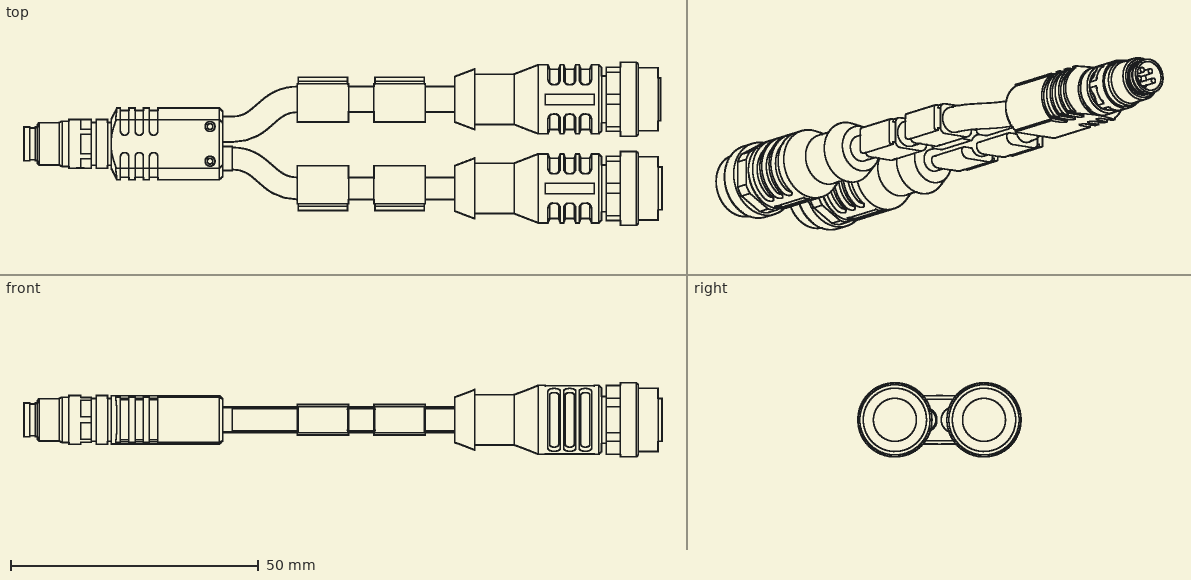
import cadquery as cq
import math


OVERALL_LENGTH = 128.9
SOCKET_Y = 9.0

JOINT_OVERLAP = 1.0

PLUG_TIP_R = 6.9 / 2
PLUG_GROOVE_R = 6.5 / 2
PLUG_SLEEVE_R = 8.6 / 2
PLUG_SHOULDER_R = 9.2 / 2
PLUG_GRIP_R = 9.9 / 2
PLUG_NECK_R = 8.7 / 2
GROOVE_START, GROOVE_END = 1.2, 2.3
SLEEVE_START = 2.7
SLEEVE_CHAMFER = 0.4
SHOULDER_START = 7.1
SHOULDER_LEAD = 0.6
GRIP_START = 9.1
FLATS_START, FLATS_END = 11.5, 13.6
FLATS_ACROSS = 9.1
NECK_END = 14.6
REAR_RING_END = 16.9
PLUG_BORE_R = 5.9 / 2
PLUG_BORE_DEPTH = 5.0
PIN_R = 1.0 / 2
PIN_TIP_X = 1.0
PIN_PLACES = [(-1.0, 1.3), (1.0, 1.3), (-1.75, -0.55), (1.75, -0.55)]

BODY_START, BODY_END = 17.6, 40.2
BODY_HEIGHT = 9.8
BODY_HALF_WIDTH = 7.25
BODY_FLAT_HALF_WIDTH = 4.9
BODY_LEDGE = 0.35
BODY_NOSE_LENGTH = 1.2
BODY_END_CHAMFER = 0.7
BODY_SLOT_CENTERS = [20.35, 23.3, 26.2]
BODY_SLOT_WIDTH = 1.7
BODY_SLOT_DEPTH = 0.5
BODY_SLOT_REACH_Y = 1.75
MARK_HOLE_R = 2.0 / 2
MARK_HOLE_DEPTH = 0.5
MARK_PIT_R = 1.15 / 2
MARK_PIT_DEPTH = 0.5
MARK_HOLE_X = 37.6
MARK_HOLE_Y = 3.5

THICK_CABLE_R = 5.2 / 2
THICK_STUB_R = 5.2 / 2
THIN_CABLE_R = 4.5 / 2
THIN_STUB_R = 4.9 / 2
CABLE_EXIT_Y = 2.95
STUB_END = 42.1
BEND_END = 55.3

CLIP_STARTS = [55.2, 70.7]
CLIP_LENGTH = 10.4
CLIP_HEIGHT = 6.2
CLIP_OUTER = 3.1
CLIP_INNER = 4.6
CLIP_OUTER_FILLET = 1.1
CLIP_LIP_FILLET = 1.5
CLIP_GAP = 1.6
CLIP_GAP_FILLET = 0.7
LABEL_OUTER = 4.5
LABEL_THICKNESS = 0.9
LABEL_HEIGHT = 5.2
LABEL_FILLET = 0.4
LABEL_NECK_HEIGHT = 4.2
LABEL_SETBACK = 0.2

BOOT_START, BOOT_START_R = 87.0, 9.2 / 2
BOOT_RIM_X, BOOT_RIM_R = 91.1, 12.3 / 2
BOOT_R = 10.2 / 2
CONE_START, CONE_END = 99.0, 103.9
SHELL_R = 14.0 / 2
SHELL_END = 116.7
SHELL_END_CHAMFER = 0.6
SOCKET_NECK_R = 9.5 / 2
HEX_START, HEX_END = 117.6, 120.5
HEX_ACROSS = 13.0
HEX_TURN = 30.0
NUT_R = 15.0 / 2
NUT_END = 124.1
NUT_CHAMFER = 0.4
RING_R = 12.8 / 2
RING_END = 128.1
INSERT_R = 8.7 / 2
INSERT_SETBACK = 0.3
GRIP_SLOT_CENTERS = [107.1, 110.25, 113.4]
GRIP_SLOT_FLOOR_WIDTH = 1.8
GRIP_SLOT_MOUTH_WIDTH = 2.5
GRIP_SLOT_DEPTH = 0.9
GRIP_SLOT_HALF_ANGLE = 55.0
PANEL_START, PANEL_END = 105.3, 115.2
PANEL_WIDTH = 2.1
PANEL_DEPTH = 0.35


def cylinder_x(start, end, radius, y=0.0, z=0.0):
    plane = cq.Workplane("YZ", origin=(start, y, z))
    return plane.circle(radius).extrude(end - start)


def hexagon_x(start, end, across_flats):
    """Hexagonal bar along X."""
    across_corners = across_flats / math.cos(math.pi / 6)
    return cq.Workplane("YZ", origin=(start, 0, 0)).polygon(6, across_corners).extrude(end - start)


def block(x_range, y_range, z_range):
    size = [high - low for low, high in (x_range, y_range, z_range)]
    corner = (x_range[0], y_range[0], z_range[0])
    return cq.Workplane("XY").box(*size, centered=False).translate(corner)


def revolve_x(profile):
    """Solid of revolution about X from (x, radius) points; the axis closes the outline."""
    points = [(profile[0][0], 0), *profile, (profile[-1][0], 0)]
    return cq.Workplane("XY").polyline(points).close().revolve(360, (0, 0, 0), (1, 0, 0))


def make_plug():
    plug = revolve_x([
        (0, PLUG_TIP_R),
        (GROOVE_START, PLUG_TIP_R),
        (GROOVE_START, PLUG_GROOVE_R),
        (GROOVE_END, PLUG_GROOVE_R),
        (GROOVE_END, PLUG_TIP_R),
        (SLEEVE_START, PLUG_TIP_R),
        (SLEEVE_START, PLUG_SLEEVE_R - SLEEVE_CHAMFER),
        (SLEEVE_START + SLEEVE_CHAMFER, PLUG_SLEEVE_R),
        (SHOULDER_START, PLUG_SLEEVE_R),
        (SHOULDER_START + SHOULDER_LEAD, PLUG_SHOULDER_R),
        (GRIP_START, PLUG_SHOULDER_R),
        (GRIP_START, PLUG_GRIP_R),
        (FLATS_END, PLUG_GRIP_R),
        (FLATS_END, PLUG_NECK_R),
        (NECK_END, PLUG_NECK_R),
        (NECK_END, PLUG_GRIP_R),
        (REAR_RING_END, PLUG_GRIP_R),
        (REAR_RING_END, PLUG_NECK_R),
        (BODY_START + BODY_NOSE_LENGTH, PLUG_NECK_R),
    ])
    around_flats = cylinder_x(FLATS_START, FLATS_END, 2 * PLUG_GRIP_R)
    hexagon = hexagon_x(FLATS_START, FLATS_END, FLATS_ACROSS)
    plug = plug.cut(around_flats.cut(hexagon))
    plug = plug.cut(cylinder_x(0, PLUG_BORE_DEPTH, PLUG_BORE_R))
    for y, z in PIN_PLACES:
        plug = plug.union(cylinder_x(PIN_TIP_X, PLUG_BORE_DEPTH + JOINT_OVERLAP, PIN_R, y, z))
    return plug


def body_section(inset):
    """Flat-topped cross-section with bulging sides, moved inwards by inset."""
    top = BODY_HEIGHT / 2 - inset
    shoulder = BODY_HEIGHT / 2 - BODY_LEDGE - inset
    side = BODY_HALF_WIDTH - inset
    flat = BODY_FLAT_HALF_WIDTH
    return (
        cq.Workplane("YZ", origin=(BODY_START, 0, 0))
        .moveTo(-flat, top)
        .lineTo(flat, top)
        .lineTo(flat, shoulder)
        .threePointArc((side, 0), (flat, -shoulder))
        .lineTo(flat, -top)
        .lineTo(-flat, -top)
        .lineTo(-flat, -shoulder)
        .threePointArc((-side, 0), (-flat, shoulder))
        .close()
        .extrude(BODY_END - BODY_START)
    )


def make_body_slots():
    """Cutters for the finger-grip slots, each wrapping around one side of the body."""
    shell = body_section(0).cut(body_section(BODY_SLOT_DEPTH))
    radius = BODY_SLOT_WIDTH / 2
    slots = []
    for x in BODY_SLOT_CENTERS:
        for side in (-1, 1):
            round_y = side * (BODY_SLOT_REACH_Y + radius)
            column = (
                cq.Workplane("XY", origin=(0, 0, -BODY_HEIGHT))
                .moveTo(x - radius, side * BODY_HALF_WIDTH * 2)
                .lineTo(x - radius, round_y)
                .threePointArc((x, side * BODY_SLOT_REACH_Y), (x + radius, round_y))
                .lineTo(x + radius, side * BODY_HALF_WIDTH * 2)
                .close()
                .extrude(2 * BODY_HEIGHT)
            )
            slots.append(column.intersect(shell))
    return slots


def make_body():
    body = body_section(0)
    body = body.faces(">X").chamfer(BODY_END_CHAMFER)
    envelope = revolve_x([
        (BODY_START, PLUG_GRIP_R),
        (BODY_START + BODY_NOSE_LENGTH, BODY_HALF_WIDTH),
        (BODY_START + BODY_NOSE_LENGTH, 2 * BODY_HALF_WIDTH),
        (BODY_END, 2 * BODY_HALF_WIDTH),
    ])
    body = body.intersect(envelope)
    for slot in make_body_slots():
        body = body.cut(slot)
    top = BODY_HEIGHT / 2
    for y in (-MARK_HOLE_Y, MARK_HOLE_Y):
        hole_floor = cq.Workplane("XY", origin=(MARK_HOLE_X, y, top - MARK_HOLE_DEPTH))
        body = body.cut(hole_floor.circle(MARK_HOLE_R).extrude(MARK_HOLE_DEPTH))
        body = body.cut(hole_floor.circle(MARK_PIT_R).extrude(-MARK_PIT_DEPTH))
    return body


def make_cable(side, cable_r, stub_r):
    """Cable leaving the body, bending outwards and running straight into its socket."""
    exit_y = side * CABLE_EXIT_Y
    axis_y = side * SOCKET_Y
    stub = cylinder_x(BODY_END - JOINT_OVERLAP, STUB_END, stub_r, exit_y)
    path = cq.Workplane("XY").spline(
        [(STUB_END, exit_y), (BEND_END, axis_y)],
        tangents=[(1, 0), (1, 0)],
    )
    bend = cq.Workplane("YZ", origin=(STUB_END, exit_y, 0)).circle(cable_r).sweep(path)
    straight = cylinder_x(BEND_END, BOOT_START + JOINT_OVERLAP, cable_r, axis_y)
    return stub.union(bend).union(straight)


def make_clip(start):
    """C-shaped label clip on the cable axis, label on the +Y side, opening on the -Y side."""
    ends = (start, start + CLIP_LENGTH)
    half = CLIP_HEIGHT / 2
    clip = block(ends, (-CLIP_INNER, CLIP_OUTER), (-half, half))
    clip = clip.edges("|X and >Y").fillet(CLIP_OUTER_FILLET)
    clip = clip.edges("|X and <Y").fillet(CLIP_LIP_FILLET)
    gap = block(ends, (-CLIP_INNER, 0), (-CLIP_GAP / 2, CLIP_GAP / 2))
    clip = clip.cut(gap)
    clip = clip.edges("|X and <Y").fillet(CLIP_GAP_FILLET)
    label_ends = (start + LABEL_SETBACK, start + CLIP_LENGTH - LABEL_SETBACK)
    label_back = LABEL_OUTER - LABEL_THICKNESS
    label_half = LABEL_HEIGHT / 2
    neck_half = LABEL_NECK_HEIGHT / 2
    label = block(label_ends, (label_back, LABEL_OUTER), (-label_half, label_half))
    label = label.edges("|X and >Y").fillet(LABEL_FILLET)
    neck = block(label_ends, (CLIP_OUTER / 2, label_back), (-neck_half, neck_half))
    return clip.union(neck).union(label)


def make_grip_slot(x, side):
    """Cutter for one draft-walled slot wrapping around a Y side of the shell, with round ends."""
    floor_r = SHELL_R - GRIP_SLOT_DEPTH
    floor_half = GRIP_SLOT_FLOOR_WIDTH / 2
    mouth_half = GRIP_SLOT_MOUTH_WIDTH / 2
    top_r = SHELL_R + GRIP_SLOT_DEPTH
    top_half = 2 * mouth_half - floor_half
    trapezoid = (
        cq.Workplane("XY")
        .polyline([
            (x - floor_half, floor_r),
            (x + floor_half, floor_r),
            (x + top_half, top_r),
            (x - top_half, top_r),
        ])
        .close()
    )
    slot = trapezoid.revolve(2 * GRIP_SLOT_HALF_ANGLE, (0, 0, 0), (1, 0, 0))
    slot = slot.rotate((0, 0, 0), (1, 0, 0), -GRIP_SLOT_HALF_ANGLE)
    for angle in (-GRIP_SLOT_HALF_ANGLE, GRIP_SLOT_HALF_ANGLE):
        end = cq.Solid.makeCone(
            floor_half, top_half, top_r - floor_r, cq.Vector(x, floor_r, 0), cq.Vector(0, 1, 0)
        )
        slot = slot.union(cq.Workplane(end).rotate((0, 0, 0), (1, 0, 0), angle))
    return slot if side > 0 else slot.mirror("XZ")


def make_socket(end):
    """Socket on the X axis with boot, gripped shell, hexagon nut and insert up to end."""
    socket = revolve_x([
        (BOOT_START, BOOT_START_R),
        (BOOT_RIM_X, BOOT_RIM_R),
        (BOOT_RIM_X, BOOT_R),
        (CONE_START, BOOT_R),
        (CONE_END, SHELL_R),
        (SHELL_END - SHELL_END_CHAMFER, SHELL_R),
        (SHELL_END, SHELL_R - SHELL_END_CHAMFER),
        (SHELL_END, SOCKET_NECK_R),
        (HEX_END, SOCKET_NECK_R),
        (HEX_END, NUT_R),
        (NUT_END - NUT_CHAMFER, NUT_R),
        (NUT_END, NUT_R - NUT_CHAMFER),
        (NUT_END, RING_R),
        (RING_END, RING_R),
        (RING_END, INSERT_R),
        (end, INSERT_R),
    ])
    hexagon = hexagon_x(HEX_START, HEX_END, HEX_ACROSS).rotate((0, 0, 0), (1, 0, 0), HEX_TURN)
    socket = socket.union(hexagon.intersect(cylinder_x(HEX_START, HEX_END, SHELL_R)))
    for side in (-1, 1):
        for x in GRIP_SLOT_CENTERS:
            socket = socket.cut(make_grip_slot(x, side))
        panel_z = sorted((side * (SHELL_R - PANEL_DEPTH), side * 2 * SHELL_R))
        panel = block((PANEL_START, PANEL_END), (-PANEL_WIDTH / 2, PANEL_WIDTH / 2), panel_z)
        socket = socket.cut(panel)
    return socket


def make_branch(side, cable_r, stub_r, end):
    """One cable with its two clips and its socket; side is +1 or -1 along Y."""
    branch = make_cable(side, cable_r, stub_r)
    for start in CLIP_STARTS:
        clip = make_clip(start)
        if side < 0:
            clip = clip.mirror("XZ")
        branch = branch.union(clip.translate((0, side * SOCKET_Y, 0)))
    return branch.union(make_socket(end).translate((0, side * SOCKET_Y, 0)))


result = make_plug().union(make_body())
result = result.union(make_branch(1, THICK_CABLE_R, THICK_STUB_R, OVERALL_LENGTH - INSERT_SETBACK))
result = result.union(make_branch(-1, THIN_CABLE_R, THIN_STUB_R, OVERALL_LENGTH))